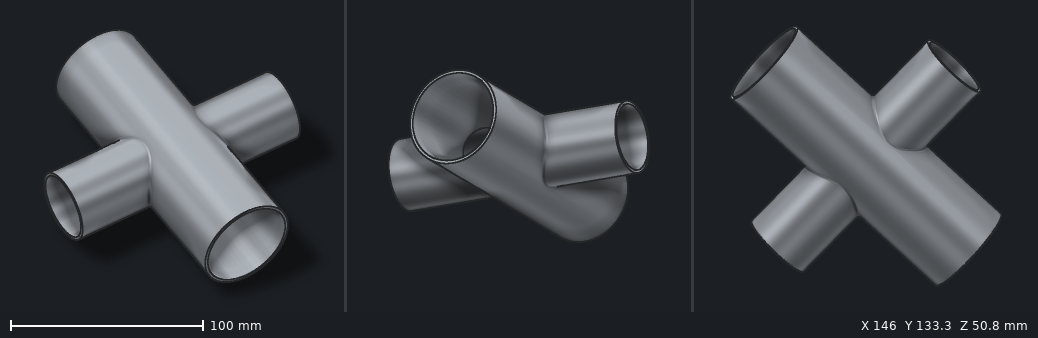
import cadquery as cq

run_length = 146.0
branch_span = 133.3
run_diameter = 50.8
run_bore_diameter = 47.5
branch_diameter = 38.1
junction_fillet = 1.6

wall = (run_diameter - run_bore_diameter) / 2
branch_bore_diameter = branch_diameter - 2 * wall


def run_cylinder(diameter):
    """Cylinder along X, centred on the origin."""
    return cq.Workplane("YZ").circle(diameter / 2).extrude(run_length / 2, both=True)


def branch_cylinder(diameter):
    """Cylinder along Y, centred on the origin."""
    return cq.Workplane("XZ").circle(diameter / 2).extrude(branch_span / 2, both=True)


def is_junction(edge):
    """True for the saddle-shaped seams where a branch leaves the run."""
    return edge.geomType() not in ("CIRCLE", "LINE")


cross = run_cylinder(run_diameter).union(branch_cylinder(branch_diameter))
seams = [edge for edge in cross.edges().vals() if is_junction(edge)]
cross = cross.newObject(seams).fillet(junction_fillet)

run_bore = run_cylinder(run_bore_diameter)
branch_bore = branch_cylinder(branch_bore_diameter)
result = cross.cut(run_bore).cut(branch_bore)